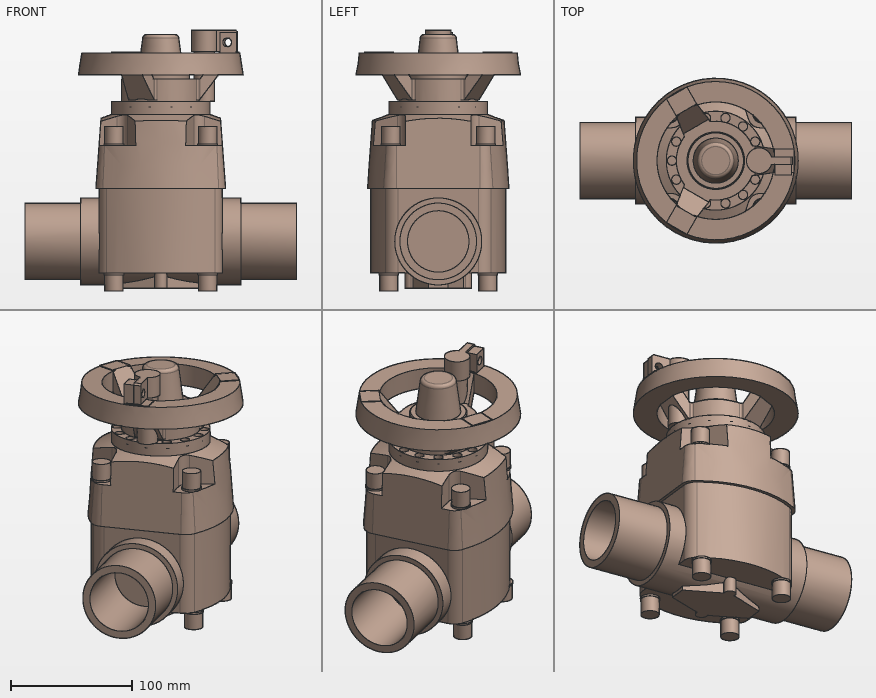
import cadquery as cq
import math


pipe_length = 224.0
pipe_radius = 31.5
collar_length = 132.2
collar_radius = 35.8
bore_radius = 25.3
bore_depth = 67.2

body_half_x = 50.8
body_half_y = 55.8
bow_radius = 88.5
corner_radius = 12.3
body_bottom = -26.0
body_top = 43.5
bonnet_overhang = 2.7
bonnet_taper = 4.2

flange_radius = 40.8
flange_bottom = 100.0
flange_top = 115.4
roof_top = 104.5
roof_slope = 20.0
index_hole_count = 14
index_hole_circle = 36.0
index_hole_radius = 3.8
index_hole_depth = 4.5

bolt_radius = 7.6
bolt_x = 38.5
upper_bolt_y = 39.0
lower_bolt_y = 40.8
upper_bolt_top = 94.5
lower_bolt_bottom = -41.0
washer_radius = 8.0
washer_height = 1.5
pocket_floor = 78.8
pocket_corner_x = 29.3
pocket_wall_y = 27.0
pocket_wall_angle = 18.5
pocket_radius = 9.5

foot_bottom = -38.8
foot_end_x = 37.0
foot_end_half_y = 7.8
foot_side_half_x = 5.2
foot_side_y = 20.8
foot_post_radius = 5.2
foot_post_half_y = 27.5

wheel_bottom = 137.0
wheel_top = 155.2
wheel_diameter = 136.0
wheel_top_radius = 65.2
wheel_inner_radius = 48.4
hub_radius = 32.5
hub_top = 134.0
cap_ring_radius = 23.7
cap_ring_top = 139.3
cap_ring_chamfer = 1.0
cap_base_radius = 18.5
cap_top_radius = 14.5
cap_top = 170.5
cap_fillet = 3.4
spoke_count = 3
spoke_bottom = 116.5
spoke_inner_width = 24.2
spoke_outer_width = 19.5
spoke_lower_start = 31.8
spoke_lower_end = 47.5
spoke_root_fillet = 2.2
pad_height = 0.7

pin_x = 35.8
pin_radius = 8.5
pin_head_radius = 10.5
pin_head_bottom = 156.4
pin_head_top = 174.0
tongue_end_x = 63.5
tongue_half_width = 3.1
tongue_chamfer = 1.5
lug_start_x = 48.5
lug_end_x = 62.3
lug_outer_y = -11.9
lug_top = 172.3
eye_z = 164.0
eye_radius = 3.5
lug_eye_x = 54.7
tongue_eye_x = 56.5


def cylinder(radius, bottom, top, x=0.0, y=0.0):
    return cq.Workplane("XY", origin=(x, y, bottom)).circle(radius).extrude(top - bottom)


def pipe_cylinder(radius, length):
    return cq.Workplane("YZ").circle(radius).extrude(length / 2, both=True)


def bowed_prism(overhang, bottom, top, taper=0.0):
    """Prism with two flat and two bowed sides, widened all round by the overhang."""
    half_x = body_half_x + overhang
    half_y = body_half_y + overhang
    radius = bow_radius + overhang
    corner_y = half_y - radius + math.sqrt(radius**2 - half_x**2)
    outline = (
        cq.Workplane("XY")
        .moveTo(-half_x, -corner_y)
        .threePointArc((0, -half_y), (half_x, -corner_y))
        .lineTo(half_x, corner_y)
        .threePointArc((0, half_y), (-half_x, corner_y))
        .close()
    )
    base_wire = outline.extrude(top - bottom).edges("|Z").fillet(corner_radius).wires("<Z").val()
    prism = cq.Workplane("XY").add(base_wire).toPending().extrude(top - bottom, taper=taper)
    return prism.translate((0, 0, bottom))


def make_pipe():
    return pipe_cylinder(pipe_radius, pipe_length).union(pipe_cylinder(collar_radius, collar_length))


def make_roof_cone():
    """Cone that trims the bonnet to a roof sloping down from the flange."""
    reach = 2 * body_half_y
    eave = roof_top - (reach - flange_radius) * math.tan(math.radians(roof_slope))
    return (
        cq.Workplane("XZ")
        .polyline([(0, body_top - reach), (reach, body_top - reach), (reach, eave),
                   (flange_radius, roof_top), (0, roof_top)])
        .close()
        .revolve(360, (0, 0, 0), (0, 1, 0))
    )


def make_pocket(side_x, side_y):
    """Corner cutter with a rounded inner corner, open to both outer sides of the bonnet."""
    reach = 2 * body_half_y
    wall_run = (reach - pocket_wall_y) * math.tan(math.radians(pocket_wall_angle))
    points = [
        (pocket_corner_x, pocket_wall_y),
        (reach, pocket_wall_y),
        (reach, reach),
        (pocket_corner_x - wall_run, reach),
    ]
    return (
        cq.Workplane("XY", origin=(0, 0, pocket_floor))
        .polyline([(side_x * x, side_y * y) for x, y in points])
        .close()
        .extrude(flange_top - pocket_floor)
        .edges("|Z")
        .edges(cq.NearestToPointSelector((side_x * pocket_corner_x, side_y * pocket_wall_y, pocket_floor)))
        .fillet(pocket_radius)
    )


def make_bonnet():
    bonnet = bowed_prism(bonnet_overhang, body_top, flange_top, bonnet_taper).intersect(make_roof_cone())
    for side_x in (-1, 1):
        for side_y in (-1, 1):
            bonnet = bonnet.cut(make_pocket(side_x, side_y))
    index_holes = (
        cq.Workplane("XY", origin=(0, 0, flange_top - index_hole_depth))
        .polarArray(index_hole_circle, 0, 360, index_hole_count)
        .circle(index_hole_radius)
        .extrude(index_hole_depth)
    )
    flange = cylinder(flange_radius, flange_bottom, flange_top).cut(index_holes)
    return bonnet.union(flange)


def make_bolts():
    bolts = cq.Workplane("XY")
    for x in (-bolt_x, bolt_x):
        for side_y in (-1, 1):
            upper_y = side_y * upper_bolt_y
            lower_y = side_y * lower_bolt_y
            bolts = (
                bolts
                .union(cylinder(bolt_radius, pocket_floor, upper_bolt_top, x, upper_y))
                .union(cylinder(washer_radius, pocket_floor, pocket_floor + washer_height, x, upper_y))
                .union(cylinder(bolt_radius, lower_bolt_bottom, body_bottom, x, lower_y))
                .union(cylinder(washer_radius, body_bottom - washer_height, body_bottom, x, lower_y))
            )
    return bolts


def make_foot():
    """Six-sided foot with a rounded post at its two widest sides."""
    height = body_bottom - foot_bottom
    base = cq.Workplane("XY", origin=(0, 0, foot_bottom))
    block = base.polyline([
        (foot_end_x, -foot_end_half_y), (foot_end_x, foot_end_half_y),
        (foot_side_half_x, foot_side_y), (-foot_side_half_x, foot_side_y),
        (-foot_end_x, foot_end_half_y), (-foot_end_x, -foot_end_half_y),
        (-foot_side_half_x, -foot_side_y), (foot_side_half_x, -foot_side_y),
    ]).close().extrude(height)
    posts = base.slot2D(2 * foot_post_half_y, 2 * foot_post_radius, 90).extrude(height)
    return block.union(posts)


def make_spoke():
    """Slanted spoke from hub to rim, ending in a thin raised pad across the rim."""
    pad_top = wheel_top + pad_height
    pad_end = math.sqrt(wheel_top_radius**2 - (spoke_outer_width / 2)**2)
    root = hub_radius / 2
    half_inner = spoke_inner_width / 2
    half_outer = spoke_outer_width / 2
    profile = (
        cq.Workplane("XZ")
        .polyline([
            (root, spoke_bottom), (spoke_lower_start, spoke_bottom), (spoke_lower_end, wheel_bottom),
            (pad_end, wheel_bottom), (pad_end, pad_top), (wheel_inner_radius, pad_top),
            (hub_radius, hub_top), (root, hub_top),
        ])
        .close()
        .extrude(half_inner, both=True)
    )
    plan = (
        cq.Workplane("XY", origin=(0, 0, spoke_bottom))
        .polyline([
            (root, -half_inner), (hub_radius, -half_inner), (wheel_inner_radius, -half_outer),
            (pad_end, -half_outer), (pad_end, half_outer), (wheel_inner_radius, half_outer),
            (hub_radius, half_inner), (root, half_inner),
        ])
        .close()
        .extrude(pad_top - spoke_bottom)
    )
    return profile.intersect(plan)


def make_handwheel():
    rim = (
        cq.Workplane("XZ")
        .polyline([
            (wheel_inner_radius, wheel_bottom), (wheel_diameter / 2, wheel_bottom),
            (wheel_top_radius, wheel_top), (wheel_inner_radius, wheel_top),
        ])
        .close()
        .revolve(360, (0, 0, 0), (0, 1, 0))
    )
    cap_ring = cylinder(cap_ring_radius, hub_top, cap_ring_top).faces(">Z").chamfer(cap_ring_chamfer)
    cap = (
        cq.Workplane("XY", origin=(0, 0, cap_ring_top))
        .circle(cap_base_radius)
        .workplane(offset=cap_top - cap_ring_top)
        .circle(cap_top_radius)
        .loft()
        .faces(">Z")
        .edges()
        .fillet(cap_fillet)
    )
    root_region = cq.selectors.BoxSelector(
        (hub_radius / 2, -spoke_inner_width, flange_top), (hub_radius, spoke_inner_width, hub_top)
    )
    spider = cylinder(hub_radius, flange_top, hub_top)
    for _ in range(spoke_count):
        spider = spider.union(make_spoke()).edges("|Z").edges(root_region).fillet(spoke_root_fillet)
        spider = spider.rotate((0, 0, 0), (0, 0, 1), 360 / spoke_count)
    return spider.union(rim).union(cap_ring).union(cap)


def make_eye(x):
    return cq.Workplane("XZ", origin=(x, 0, eye_z)).circle(eye_radius).extrude(wheel_top_radius, both=True)


def make_lock():
    """Locking pin through the wheel, with a tongue beside a lug that share a padlock eye."""
    pin = cylinder(pin_radius, flange_top, pin_head_bottom, pin_x)
    head = cylinder(pin_head_radius, pin_head_bottom, pin_head_top, pin_x)
    tongue = (
        cq.Workplane("XY", origin=(0, 0, pin_head_bottom))
        .moveTo(pin_x, -tongue_half_width)
        .lineTo(tongue_end_x, -tongue_half_width)
        .lineTo(tongue_end_x, tongue_half_width)
        .lineTo(pin_x, tongue_half_width)
        .close()
        .extrude(pin_head_top - pin_head_bottom)
        .edges(">X and >Z")
        .chamfer(tongue_chamfer)
        .cut(make_eye(tongue_eye_x))
    )
    lug = (
        cq.Workplane("XY", origin=(0, 0, wheel_top))
        .moveTo(lug_start_x, lug_outer_y)
        .lineTo(lug_end_x, lug_outer_y)
        .lineTo(lug_end_x, -tongue_half_width)
        .lineTo(lug_start_x, -tongue_half_width)
        .close()
        .extrude(lug_top - wheel_top)
        .cut(make_eye(lug_eye_x))
    )
    return pin.union(head).union(tongue).union(lug)


body = make_pipe().union(bowed_prism(0, body_bottom, body_top)).union(make_foot())
for side in (-1, 1):
    bore = cq.Workplane("YZ", origin=(side * pipe_length / 2, 0, 0)).circle(bore_radius)
    body = body.cut(bore.extrude(-side * bore_depth))

result = body.union(make_bonnet()).union(make_bolts()).union(make_handwheel()).union(make_lock())